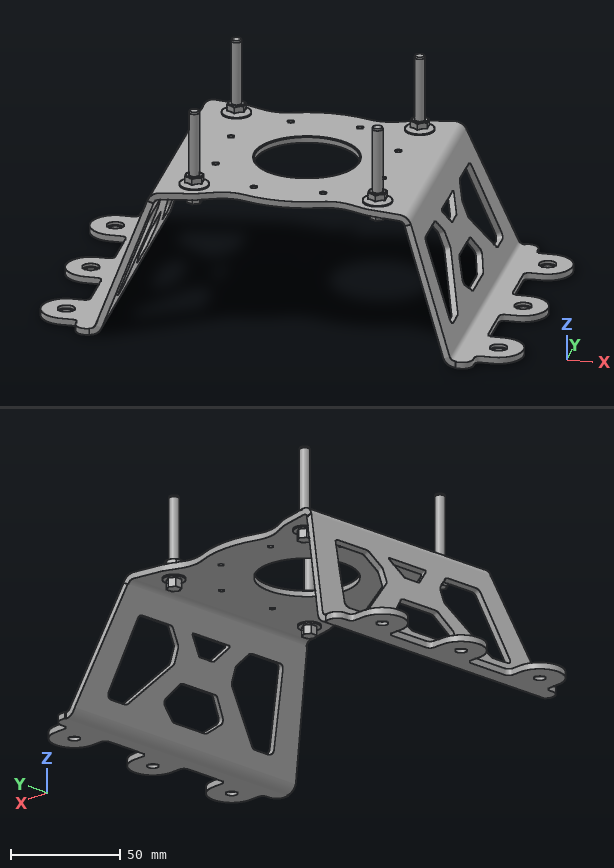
import cadquery as cq
import math

sheet = 3.2
overall_x = 226.46
overall_y = 141.85
deck_top = 67.4
bend_inner = 3.0
bend_outer = bend_inner + sheet
lean = 20.0
fold_angle = 90.0 - lean
deck_half_x = 56.1
deck_end_half_y = 56.2
leg_top_half_y = 57.0
leg_bottom_half_y = 70.2

lobe_radius = 52.5
shoulder_x = 40.0
shoulder_y = 53.2
valley_x = 20.0
valley_y = 44.8
shoulder_round = 11.0
valley_round = 18.7

window_top_z = 52.4
window_bottom_z = 13.4
side_window_inner_y = 18.2
window_round = 2.5
small_window_round = 0.6
side_window = [
    (24.9, window_top_z),
    (45.7, window_top_z),
    (53.0, window_bottom_z),
    (40.2, window_bottom_z),
    (side_window_inner_y, 36.8),
    (side_window_inner_y, 44.8),
]
upper_window_half = [(12.4, window_top_z), (4.5, 43.5)]
lower_window_half = [(11.2, 30.2), (19.4, 20.0), (10.5, 12.9)]

centre_hole_diameter = 48.5
centre_hole_rim_diameter = 49.5
small_hole_diameter = 2.53
small_hole_rim_diameter = 3.09
small_hole_circle_radius = 42.4
small_hole_count = 8
small_hole_start = 23.0
bolt_offset = 43.0
bolt_hole_diameter = 5.5

tab_radius = 11.8
tab_pitch = 50.0
tab_centre_x = overall_x / 2 - tab_radius
foot_edge_x = 93.3
foot_corner_round = 5.0
tab_root_round = 2.5
tab_hole_diameter = 5.5
tab_counterbore_diameter = 8.0
tab_counterbore_depth = 1.5

bolt_top = 104.19
bolt_diameter = 5.0
bolt_tip_diameter = 4.23
bolt_tip_height = 0.9
head_height = 5.2
head_across_flats = 6.2
head_flange_diameter = 10.7
head_flange_height = 0.8

nut_height = 5.0
nut_across_flats = 8.0
nut_flange_diameter = 13.7
nut_flange_rim = 0.6
nut_flange_height = 1.9
nut_top_diameter = 7.4
nut_chamfer_angle = 60.0

lean_sin = math.sin(math.radians(lean))
lean_cos = math.cos(math.radians(lean))
leg_top_x = deck_half_x + bend_outer * lean_cos
leg_top_z = deck_top - bend_outer * (1 - lean_sin)
leg_bottom_z = sheet + bend_inner * (1 - lean_sin)
leg_length = (leg_top_z - leg_bottom_z) / lean_cos
leg_bottom_x = leg_top_x + leg_length * lean_sin
foot_bend_x = leg_bottom_x + bend_inner * lean_cos


def height_on_leg(z):
    """Distance up the leg's outer face from its lower end to the height z."""
    return (z - leg_bottom_z) / lean_cos


def mirror_y(points):
    """The (y, z) points on the opposite side of the middle plane."""
    return [(-y, z) for y, z in points]


def make_deck():
    corner = [
        (deck_half_x, deck_end_half_y),
        (shoulder_x, shoulder_y),
        (valley_x, valley_y),
    ]
    outline = corner + [(-x, y) for x, y in reversed(corner)]
    outline += [(-x, -y) for x, y in corner] + [(x, -y) for x, y in reversed(corner)]
    slab = cq.Workplane("XY").polyline(outline).close().extrude(sheet)
    lobe = cq.Workplane("XY").circle(lobe_radius).extrude(sheet)
    deck = slab.union(lobe)

    def upright_edges_between(low, high):
        return deck.edges("|Z").filter(lambda e: low < abs(e.Center().x) < high)

    between = (valley_x + shoulder_x) / 2
    deck = upright_edges_between(between, (shoulder_x + deck_half_x) / 2).fillet(shoulder_round)
    deck = upright_edges_between(valley_x, between).fillet(valley_round)
    return deck.translate((0, 0, deck_top - sheet))


def bend_sector(centre_x, centre_z, start_angle, half_width):
    """Fold of the sheet through the fold angle, curved about an axis along Y."""
    def at(radius, angle):
        a = math.radians(angle)
        return (centre_x + radius * math.cos(a), centre_z + radius * math.sin(a))

    middle = start_angle + fold_angle / 2
    end = start_angle + fold_angle
    return (
        cq.Workplane("XZ")
        .moveTo(*at(bend_inner, start_angle))
        .lineTo(*at(bend_outer, start_angle))
        .threePointArc(at(bend_outer, middle), at(bend_outer, end))
        .lineTo(*at(bend_inner, end))
        .threePointArc(at(bend_inner, middle), at(bend_inner, start_angle))
        .close()
        .extrude(half_width, both=True)
    )


def make_upper_bend():
    bend = bend_sector(deck_half_x, deck_top - bend_outer, lean, leg_top_half_y)
    taper = (
        cq.Workplane("XY")
        .polyline([
            (deck_half_x, -deck_end_half_y),
            (leg_top_x, -leg_top_half_y),
            (leg_top_x, leg_top_half_y),
            (deck_half_x, deck_end_half_y),
        ])
        .close()
        .extrude(deck_top)
    )
    return bend.intersect(taper)


def make_lower_bend():
    return bend_sector(foot_bend_x, sheet + bend_inner, 180 + lean, leg_bottom_half_y)


def make_leg():
    """Leaning panel with its windows, drawn on its outer face and grown inward."""
    face = cq.Plane(
        origin=(leg_bottom_x, 0, leg_bottom_z),
        xDir=(0, 1, 0),
        normal=(lean_cos, 0, lean_sin),
    )
    panel = (
        cq.Workplane(face)
        .polyline([
            (-leg_bottom_half_y, 0),
            (leg_bottom_half_y, 0),
            (leg_top_half_y, leg_length),
            (-leg_top_half_y, leg_length),
        ])
        .close()
        .extrude(-sheet)
    )

    windows = [
        (side_window, window_round),
        (mirror_y(side_window), window_round),
        (upper_window_half + mirror_y(reversed(upper_window_half)), small_window_round),
        (lower_window_half + mirror_y(reversed(lower_window_half)), window_round),
    ]
    through = cq.selectors.ParallelDirSelector(face.zDir)
    for outline, corner_round in windows:
        corners = [(y, height_on_leg(z)) for y, z in outline]
        opening = cq.Workplane(face).polyline(corners).close().extrude(-sheet)
        panel = panel.cut(opening.edges(through).fillet(corner_round))
    return panel


def make_foot():
    strip_x = foot_edge_x - foot_bend_x
    foot = (
        cq.Workplane("XY")
        .box(strip_x, overall_y, sheet, centered=(False, True, False))
        .translate((foot_bend_x, 0, 0))
    )
    foot = foot.edges("|Z and >X").fillet(foot_corner_round)
    tab_y = (-tab_pitch, 0, tab_pitch)
    for y in tab_y:
        disc = cq.Workplane("XY").center(tab_centre_x, y).circle(tab_radius).extrude(sheet)
        neck = (
            cq.Workplane("XY")
            .center((foot_bend_x + tab_centre_x) / 2, y)
            .rect(tab_centre_x - foot_bend_x, 2 * tab_radius)
            .extrude(sheet)
        )
        foot = foot.union(disc).union(neck)
    outermost_root_y = tab_pitch + tab_radius
    roots = foot.edges("|Z").filter(
        lambda e: math.isclose(e.Center().x, foot_edge_x, abs_tol=0.01)
        and abs(e.Center().y) < outermost_root_y + tab_root_round
    )
    foot = roots.fillet(tab_root_round)
    return (
        foot.faces(">Z").workplane(origin=(0, 0, sheet))
        .pushPoints([(tab_centre_x, y) for y in tab_y])
        .cboreHole(tab_hole_diameter, tab_counterbore_diameter, tab_counterbore_depth)
    )


def rimmed_holes(places, diameter, rim_diameter):
    """Cutters through the deck, each with a 45 degree bevel at the upper face."""
    rim_depth = (rim_diameter - diameter) / 2
    profile = (
        cq.Workplane("XZ")
        .polyline([
            (0, 0),
            (rim_diameter / 2, 0),
            (diameter / 2, -rim_depth),
            (diameter / 2, -sheet),
            (0, -sheet),
        ])
        .close()
        .revolve(360, (0, 0, 0), (0, 1, 0))
    )
    cutters = cq.Workplane("XY")
    for x, y in places:
        cutters = cutters.add(profile.translate((x, y, deck_top)))
    return cutters.combine()


def make_bracket():
    side = make_upper_bend().union(make_leg()).union(make_lower_bend()).union(make_foot())
    bracket = make_deck().union(side).union(side.mirror("YZ"))
    small_places = []
    for i in range(small_hole_count):
        angle = math.radians(small_hole_start + i * 360 / small_hole_count)
        small_places.append((
            small_hole_circle_radius * math.cos(angle),
            small_hole_circle_radius * math.sin(angle),
        ))
    bracket = bracket.cut(rimmed_holes([(0, 0)], centre_hole_diameter, centre_hole_rim_diameter))
    bracket = bracket.cut(rimmed_holes(small_places, small_hole_diameter, small_hole_rim_diameter))
    bolt_holes = (
        cq.Workplane("XY", origin=(0, 0, deck_top))
        .pushPoints(bolt_places)
        .circle(bolt_hole_diameter / 2)
        .extrude(-sheet)
    )
    return bracket.cut(bolt_holes)


def hexagon(across_flats, z, height):
    """Hexagonal prism with two corners on the Y axis."""
    across_corners = across_flats / math.cos(math.pi / 6)
    prism = cq.Workplane("XY").polygon(6, across_corners).extrude(height)
    return prism.rotate((0, 0, 0), (0, 0, 1), 90).translate((0, 0, z))


def make_bolt(x, y):
    """Flanged hex bolt, head below the deck and shank pointing up."""
    deck_bottom = deck_top - sheet
    head = hexagon(head_across_flats, deck_bottom - head_height, head_height)
    radius = bolt_diameter / 2
    turned = (
        cq.Workplane("XZ")
        .polyline([
            (0, deck_bottom - head_flange_height),
            (head_flange_diameter / 2, deck_bottom - head_flange_height),
            (head_flange_diameter / 2, deck_bottom),
            (radius, deck_bottom),
            (radius, bolt_top - bolt_tip_height),
            (bolt_tip_diameter / 2, bolt_top),
            (0, bolt_top),
        ])
        .close()
        .revolve(360, (0, 0, 0), (0, 1, 0))
    )
    return turned.union(head).translate((x, y, 0))


def make_nut(x, y):
    """Flanged hex nut sitting on the deck around a bolt shank."""
    body = hexagon(nut_across_flats, 0, nut_height)
    envelope = (
        cq.Workplane("XY", origin=(0, 0, nut_height))
        .circle(nut_top_diameter / 2)
        .extrude(-nut_height, taper=-nut_chamfer_angle)
    )
    body = body.intersect(envelope)
    flange = (
        cq.Workplane("XZ")
        .polyline([
            (0, 0),
            (nut_flange_diameter / 2, 0),
            (nut_flange_diameter / 2, nut_flange_rim),
            (nut_across_flats / 2, nut_flange_height),
            (0, nut_flange_height),
        ])
        .close()
        .revolve(360, (0, 0, 0), (0, 1, 0))
    )
    bore = cq.Workplane("XY").circle(bolt_diameter / 2).extrude(nut_height)
    return body.union(flange).cut(bore).translate((x, y, deck_top))


bolt_places = [(sx * bolt_offset, sy * bolt_offset) for sx in (-1, 1) for sy in (-1, 1)]
bracket = make_bracket()
bolts = [make_bolt(x, y) for x, y in bolt_places]
nuts = [make_nut(x, y) for x, y in bolt_places]

result = cq.Compound.makeCompound(
    [bracket.val()] + [bolt.val() for bolt in bolts] + [nut.val() for nut in nuts]
)